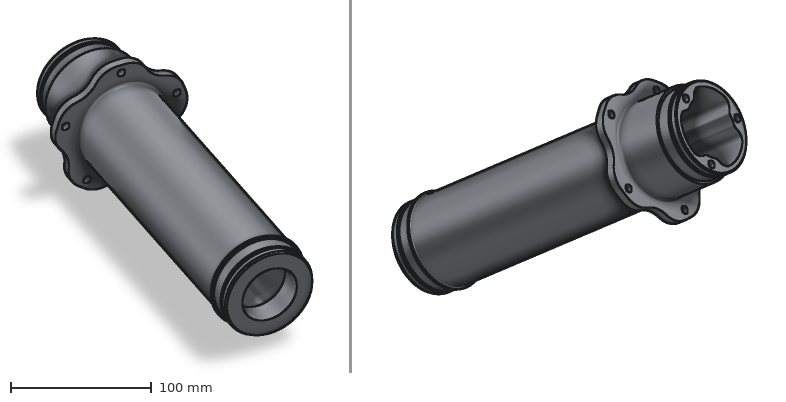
import cadquery as cq
import math

LENGTH = 294.0
TUBE_RADIUS = 35.0
SEAT_RADIUS = 37.0
SEAT_START = 18.0
NEAR_CHAMFER = 1.0
FAR_CHAMFER_LENGTH = 1.8
FAR_CHAMFER_DEPTH = 1.0

GROOVE_WIDTH = 2.5
GROOVE_DEPTH = 1.5
GROOVE_STARTS = (5.3, 285.5)

COLLAR_START = 273.7
COLLAR_WIDTH = 1.8
COLLAR_RADIUS = 36.8
COLLAR_FILLET = 1.0

FLANGE_START = 56.7
FLANGE_THICKNESS = 7.0
FLANGE_END = FLANGE_START + FLANGE_THICKNESS
NEAR_FLANGE_FILLET = 2.5
FAR_FLANGE_FILLET = 3.5
LOBE_COUNT = 5
LOBE_REACH = 53.5
LOBE_FLAT_HALF_WIDTH = 3.2
LOBE_RADIUS = 19.7
VALLEY_RADIUS = 22.0
FLANGE_HOLE_CIRCLE_RADIUS = 46.7

BORE_LOBE_COUNT = 3
BORE_CORE_RADIUS = 23.5
BORE_LOBE_REACH = 30.3
BORE_LOBE_HALF_WIDTH = 17.3
BORE_CORNER_RADIUS = 8.8
BOSS_TIP_RADIUS = 4.0
END_WALL_START = COLLAR_START + COLLAR_WIDTH
OPENING_RADIUS = 21.8

HOLE_RADIUS = 3.0
SCREW_CIRCLE_RADIUS = 29.0
SCREW_DEPTH = 17.5

TOLERANCE = 0.03


def polar(radius, angle):
    """Point at a radius and an angle in degrees."""
    return (radius * math.cos(math.radians(angle)), radius * math.sin(math.radians(angle)))


def turned(point, angle):
    """Point turned about the axis by an angle in degrees."""
    return polar(math.hypot(*point), math.degrees(math.atan2(point[1], point[0])) + angle)


def cross_section(x):
    """Plane across the tube at x; its local axes are the part's Y and Z."""
    return cq.Workplane("YZ", origin=(x, 0, 0))


def lobe_angles(count, first):
    return [first + i * 360 / count for i in range(count)]


def disc(start, end, radius):
    return cross_section(start).circle(radius).extrude(end - start)


def flange_fillet(face_x, direction, radius, size):
    """Concave ring between a flange face and the barrel, reaching along +X or -X."""
    centre_x = face_x + direction * size
    centre_radius = radius + size
    middle = size * math.sqrt(0.5)
    return (
        cq.Workplane("XY")
        .moveTo(face_x, 0)
        .lineTo(face_x, centre_radius)
        .threePointArc((centre_x - direction * middle, centre_radius - middle), (centre_x, radius))
        .lineTo(centre_x, 0)
        .close()
        .revolve(360, (0, 0, 0), (1, 0, 0))
    )


def make_tube():
    return (
        cq.Workplane("XY")
        .moveTo(0, 0)
        .lineTo(0, TUBE_RADIUS - NEAR_CHAMFER)
        .lineTo(NEAR_CHAMFER, TUBE_RADIUS)
        .lineTo(LENGTH - FAR_CHAMFER_LENGTH, TUBE_RADIUS)
        .lineTo(LENGTH, TUBE_RADIUS - FAR_CHAMFER_DEPTH)
        .lineTo(LENGTH, 0)
        .close()
        .revolve(360, (0, 0, 0), (1, 0, 0))
    )


def make_groove(start):
    return (
        cross_section(start)
        .circle(SEAT_RADIUS)
        .circle(TUBE_RADIUS - GROOVE_DEPTH)
        .extrude(GROOVE_WIDTH)
    )


def make_flange():
    """Lobes with a short flat tip and round shoulders, blended by concave valleys."""
    half_pitch = 180 / LOBE_COUNT

    shoulder_centre = (LOBE_REACH - LOBE_RADIUS, LOBE_FLAT_HALF_WIDTH)

    along, across = turned(shoulder_centre, -half_pitch)
    valley_centre = along + math.sqrt((LOBE_RADIUS + VALLEY_RADIUS) ** 2 - across**2)
    valley_bottom = (valley_centre - VALLEY_RADIUS, 0)
    share = LOBE_RADIUS / (LOBE_RADIUS + VALLEY_RADIUS)
    valley_start = (along + share * (valley_centre - along), across * (1 - share))
    valley_end = (valley_start[0], -valley_start[1])

    valley_start_on_lobe = turned(valley_start, half_pitch)
    shoulder_turn = math.degrees(
        math.atan2(
            valley_start_on_lobe[1] - shoulder_centre[1],
            valley_start_on_lobe[0] - shoulder_centre[0],
        )
    )
    offset = polar(LOBE_RADIUS, shoulder_turn / 2)
    shoulder_middle = (shoulder_centre[0] + offset[0], shoulder_centre[1] + offset[1])
    mirrored_middle = (shoulder_middle[0], -shoulder_middle[1])

    angles = lobe_angles(LOBE_COUNT, 90)
    flat_start = (LOBE_REACH, -LOBE_FLAT_HALF_WIDTH)
    flat_end = (LOBE_REACH, LOBE_FLAT_HALF_WIDTH)
    outline = cross_section(FLANGE_START).moveTo(*turned(flat_start, angles[0]))
    for angle in angles:
        valley_angle = angle + half_pitch
        next_angle = angle + 2 * half_pitch
        outline = (
            outline.lineTo(*turned(flat_end, angle))
            .threePointArc(turned(shoulder_middle, angle), turned(valley_start, valley_angle))
            .threePointArc(turned(valley_bottom, valley_angle), turned(valley_end, valley_angle))
            .threePointArc(turned(mirrored_middle, next_angle), turned(flat_start, next_angle))
        )
    holes = (
        cross_section(FLANGE_START)
        .pushPoints([polar(FLANGE_HOLE_CIRCLE_RADIUS, angle) for angle in angles])
        .circle(HOLE_RADIUS)
        .extrude(FLANGE_THICKNESS)
    )
    return outline.close().extrude(FLANGE_THICKNESS).cut(holes)


def make_bore():
    """Round core widened by round-cornered lobes, leaving three screw bosses between them."""
    lobe = (
        cross_section(0)
        .center(0, BORE_LOBE_REACH / 2)
        .rect(2 * BORE_LOBE_HALF_WIDTH, BORE_LOBE_REACH)
        .extrude(END_WALL_START)
        .intersect(disc(0, END_WALL_START, BORE_LOBE_REACH))
        .edges("|X")
        .edges(">Z")
        .fillet(BORE_CORNER_RADIUS)
    )
    bore = disc(0, END_WALL_START, BORE_CORE_RADIUS)
    for angle in lobe_angles(BORE_LOBE_COUNT, 0):
        bore = bore.union(lobe.rotate((0, 0, 0), (1, 0, 0), angle))

    tip_edges = [
        edge
        for edge in bore.edges("|X").vals()
        if math.hypot(edge.Center().y, edge.Center().z) < BORE_CORE_RADIUS + TOLERANCE
    ]
    bore = bore.newObject(tip_edges).fillet(BOSS_TIP_RADIUS)
    return bore.union(disc(0, LENGTH, OPENING_RADIUS))


def make_screw_holes():
    angles = lobe_angles(BORE_LOBE_COUNT, -90)
    return (
        cross_section(0)
        .pushPoints([polar(SCREW_CIRCLE_RADIUS, angle) for angle in angles])
        .circle(HOLE_RADIUS)
        .extrude(SCREW_DEPTH)
    )


body = make_tube()
for groove_start in GROOVE_STARTS:
    body = body.cut(make_groove(groove_start))
body = (
    body.union(disc(SEAT_START, FLANGE_START, SEAT_RADIUS))
    .union(disc(COLLAR_START, COLLAR_START + COLLAR_WIDTH, COLLAR_RADIUS))
    .union(flange_fillet(COLLAR_START, -1, TUBE_RADIUS, COLLAR_FILLET))
    .union(make_flange())
    .union(flange_fillet(FLANGE_START, -1, SEAT_RADIUS, NEAR_FLANGE_FILLET))
    .union(flange_fillet(FLANGE_END, 1, TUBE_RADIUS, FAR_FLANGE_FILLET))
)
result = body.cut(make_bore()).cut(make_screw_holes())